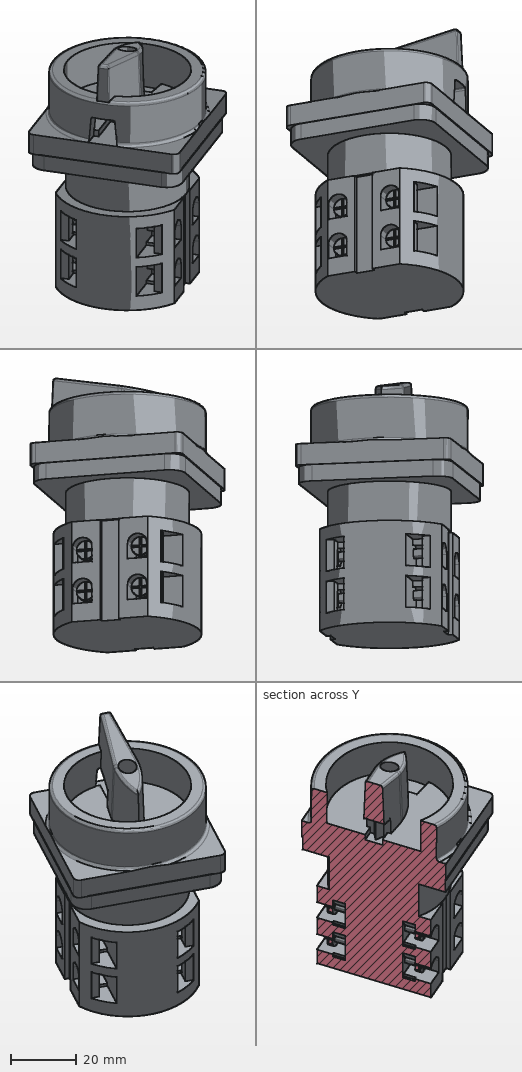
import cadquery as cq
import math

BODY_TOP = 31.6
NECK_TOP = 44.5
GASKET_TOP = 49.6
PLATE_TOP = 56.2
DIAL_FLOOR = 58.25
RING_TOP = 70.7
KNOB_TOP = 82.4

BODY_RADIUS = 22.65
BODY_WIDTH = 38.3
GROOVE_WIDTH = 5.85
GROOVE_DEPTH = 1.5
NECK_RADIUS = 18.95

LEVEL_PITCH = 12.9
LOWER_SCREW_Z = 10.5
SCREW_LEVELS = (LOWER_SCREW_Z, LOWER_SCREW_Z + LEVEL_PITCH)
WINDOW_DROP = 0.75
WINDOW_HEIGHT = 9.8
WINDOW_OUTER_X = 16.3
WINDOW_STEP_X = 13.75
WINDOW_INNER_X = 9.7
WINDOW_STEP_Y = 15.5
WINDOW_BACK_Y = 10.8
SCREW_Y = 8.7
POCKET_RADIUS = 3.05
POCKET_DROP = 4.7
HEAD_RADIUS = 2.9
HEAD_DEPTH = 3.55
SHANK_RADIUS = 1.5
DRIVE_WIDTH = 0.6
DRIVE_DEPTH = 0.4

PLATE_SIDE = 48.5
PLATE_CORNER = 2.0
GASKET_SIDE = 48.0
GASKET_CORNER = 5.1

RING_RADIUS = GASKET_SIDE / 2
RING_INNER_RADIUS = 19.45
RING_ROUND = 1.0

RECESS_INNER_Y = 12.1
RECESS_INNER_HALF = 3.7
RECESS_OUTER_HALF = 4.7

NOTCH_TOP = 64.6
NOTCH_BASE_HALF = 4.5
NOTCH_TOP_HALF = 3.8
NOTCH_ROUND = 0.75
CHANNEL_HALF = 2.9
CHANNEL_START_Y = -19.2
PASSAGE_END_Y = -7.8
RIDGE_HALF = 1.6
RIDGE_DEPTH = 2.5

KNOB_HALF = 4.7
KNOB_TIP_Y = 12.2
KNOB_ARC_END_Y = -0.75
KNOB_TAPER_START_Y = -2.0
KNOB_TAIL_Y = -24.1
KNOB_TAIL_HALF = 2.4
KNOB_DRAFT = 2.0
KNOB_SLOPE = 12.0
KNOB_ROUND = 1.0
KNOB_TAIL_ROUND = 0.3
KNOB_SEAT = 0.3
KNOB_PEAK_Y = -22.25
KNOB_HOLE_RADIUS = 2.8
KNOB_HOLE_FLOOR = 70.85

CLEARANCE = 4.1


def box(x0, x1, y0, y1, z0, z1):
    return cq.Workplane("XY").box(x1 - x0, y1 - y0, z1 - z0, centered=False).translate((x0, y0, z0))


def cylinder(radius, z0, z1):
    return cq.Workplane("XY").workplane(offset=z0).circle(radius).extrude(z1 - z0)


def square_plate(side, corner, z0, z1):
    plate = cq.Workplane("XY").workplane(offset=z0).rect(side, side).extrude(z1 - z0)
    return plate.edges("|Z").fillet(corner)


def all_quadrants(shape):
    """Repeat a shape mirrored in X and in Y."""
    pair = shape.union(shape.mirror("YZ"))
    return pair.union(pair.mirror("XZ"))


def terminal_cutter(screw_z):
    """Stepped wire window and round-topped screw pocket at -X, -Y."""
    z0 = screw_z - WINDOW_DROP - WINDOW_HEIGHT / 2
    z1 = z0 + WINDOW_HEIGHT
    outer_y = -BODY_RADIUS - CLEARANCE
    window = box(-WINDOW_OUTER_X, -WINDOW_INNER_X, outer_y, -WINDOW_STEP_Y, z0, z1)
    window = window.union(box(-WINDOW_STEP_X, -WINDOW_INNER_X, outer_y, -WINDOW_BACK_Y, z0, z1))
    pocket = (
        cq.Workplane("YZ", origin=(-WINDOW_INNER_X, -SCREW_Y, screw_z))
        .moveTo(-POCKET_RADIUS, -POCKET_DROP)
        .lineTo(POCKET_RADIUS, -POCKET_DROP)
        .lineTo(POCKET_RADIUS, 0)
        .threePointArc((0, POCKET_RADIUS), (-POCKET_RADIUS, 0))
        .close()
        .extrude(-BODY_WIDTH)
    )
    return window.union(pocket)


def terminal_screw(screw_z):
    """Cross-slotted screw standing on the pocket's back wall."""
    face_x = HEAD_DEPTH - BODY_WIDTH / 2
    axis = cq.Workplane("YZ", origin=(face_x, -SCREW_Y, screw_z))
    head = axis.circle(HEAD_RADIUS).extrude(-WINDOW_STEP_X - face_x)
    shank = axis.circle(SHANK_RADIUS).extrude(-WINDOW_INNER_X - face_x)
    cross = axis.rect(DRIVE_WIDTH, 2 * HEAD_RADIUS).extrude(DRIVE_DEPTH)
    cross = cross.union(axis.rect(2 * HEAD_RADIUS, DRIVE_WIDTH).extrude(DRIVE_DEPTH))
    return head.union(shank).cut(cross)


def contact_block():
    half = BODY_WIDTH / 2
    block = cylinder(BODY_RADIUS, 0, BODY_TOP)
    block = block.intersect(box(-half, half, -BODY_RADIUS, BODY_RADIUS, 0, BODY_TOP))
    groove = box(-half, GROOVE_DEPTH - half, -GROOVE_WIDTH / 2, GROOVE_WIDTH / 2, 0, BODY_TOP)
    block = block.cut(groove).cut(groove.mirror("YZ"))
    for screw_z in SCREW_LEVELS:
        block = block.cut(all_quadrants(terminal_cutter(screw_z)))
        block = block.union(all_quadrants(terminal_screw(screw_z)))
    return block


def guard_ring():
    """Ring with a rounded rim and a flared foot trimmed to the plate's sides."""
    diagonal = math.sqrt(0.5)
    r = RING_ROUND
    profile = (
        cq.Workplane("XZ")
        .moveTo(0, PLATE_TOP)
        .lineTo(RING_RADIUS + r, PLATE_TOP)
        .threePointArc(
            (RING_RADIUS + r * (1 - diagonal), PLATE_TOP + r * (1 - diagonal)),
            (RING_RADIUS, PLATE_TOP + r),
        )
        .lineTo(RING_RADIUS, RING_TOP - r)
        .threePointArc(
            (RING_RADIUS - r * (1 - diagonal), RING_TOP - r * (1 - diagonal)),
            (RING_RADIUS - r, RING_TOP),
        )
        .lineTo(0, RING_TOP)
        .close()
    )
    half = PLATE_SIDE / 2
    ring = profile.revolve(360, (0, 0, 0), (0, 1, 0))
    ring = ring.intersect(box(-half, half, -half, half, PLATE_TOP, RING_TOP))
    return ring.cut(cylinder(RING_INNER_RADIUS, DIAL_FLOOR, RING_TOP))


def marker_recess():
    outline = [
        (-RECESS_INNER_HALF, RECESS_INNER_Y),
        (RECESS_INNER_HALF, RECESS_INNER_Y),
        (RECESS_OUTER_HALF, RING_INNER_RADIUS),
        (-RECESS_OUTER_HALF, RING_INNER_RADIUS),
    ]
    wedge = cq.Workplane("XY").workplane(offset=PLATE_TOP).polyline(outline).close()
    wedge = wedge.extrude(DIAL_FLOOR - PLATE_TOP)
    return wedge.intersect(cylinder(RING_INNER_RADIUS, PLATE_TOP, DIAL_FLOOR))


def knob():
    """Drafted pointer with a sloping rounded top, its tail resting on the ring."""
    length = KNOB_TIP_Y - KNOB_ARC_END_Y
    arc_radius = (length**2 + KNOB_HALF**2) / (2 * KNOB_HALF)
    mid_angle = math.asin(length / arc_radius) / 2
    mid_x = KNOB_HALF - arc_radius * (1 - math.cos(mid_angle))
    mid_y = KNOB_ARC_END_Y + arc_radius * math.sin(mid_angle)
    body = (
        cq.Workplane("XY")
        .workplane(offset=DIAL_FLOOR)
        .moveTo(0, KNOB_TIP_Y)
        .threePointArc((mid_x, mid_y), (KNOB_HALF, KNOB_ARC_END_Y))
        .lineTo(KNOB_HALF, KNOB_TAPER_START_Y)
        .lineTo(KNOB_TAIL_HALF, KNOB_TAIL_Y)
        .lineTo(-KNOB_TAIL_HALF, KNOB_TAIL_Y)
        .lineTo(-KNOB_HALF, KNOB_TAPER_START_Y)
        .lineTo(-KNOB_HALF, KNOB_ARC_END_Y)
        .threePointArc((-mid_x, mid_y), (0, KNOB_TIP_Y))
        .close()
        .extrude(KNOB_TOP + CLEARANCE - DIAL_FLOOR, taper=KNOB_DRAFT)
    )
    body = body.faces("<Y").edges("<X or >X").fillet(KNOB_TAIL_ROUND)
    above = (
        cq.Workplane("XY")
        .box(PLATE_SIDE, 2 * PLATE_SIDE, PLATE_SIDE, centered=(True, True, False))
        .rotate((0, 0, 0), (1, 0, 0), -KNOB_SLOPE)
        .translate((0, KNOB_PEAK_Y, KNOB_TOP))
    )
    body = body.cut(above)
    body = body.faces(">Z").edges().fillet(KNOB_ROUND)
    hole = cylinder(KNOB_HOLE_RADIUS, KNOB_HOLE_FLOOR, KNOB_TOP)
    envelope = cylinder(RING_INNER_RADIUS, DIAL_FLOOR, RING_TOP)
    envelope = envelope.union(cylinder(PLATE_SIDE, RING_TOP - KNOB_SEAT, KNOB_TOP))
    return body.cut(hole).intersect(envelope)


def padlock_passage():
    """Round-cornered trapezoid through the ring wall, carried on under the knob."""
    outer_y = -PLATE_SIDE / 2 - CLEARANCE
    outline = [
        (-NOTCH_BASE_HALF, PLATE_TOP),
        (NOTCH_BASE_HALF, PLATE_TOP),
        (NOTCH_TOP_HALF, NOTCH_TOP),
        (-NOTCH_TOP_HALF, NOTCH_TOP),
    ]
    notch = cq.Workplane("XZ", origin=(0, outer_y, 0)).polyline(outline).close()
    notch = notch.extrude(outer_y - PASSAGE_END_Y)
    notch = notch.faces(">Z").edges("|Y").fillet(NOTCH_ROUND)
    for side in (-1, 1):
        x0, x1 = sorted((side * CHANNEL_HALF, side * (NOTCH_BASE_HALF + CLEARANCE)))
        notch = notch.cut(box(x0, x1, CHANNEL_START_Y, PASSAGE_END_Y, PLATE_TOP, DIAL_FLOOR))
    return notch


def passage_ridge():
    """Upright V-shaped ridge on the passage's end wall."""
    outline = [(-RIDGE_HALF, 0), (0, -RIDGE_DEPTH), (RIDGE_HALF, 0)]
    ridge = cq.Workplane("XY", origin=(0, PASSAGE_END_Y, PLATE_TOP)).polyline(outline).close()
    return ridge.extrude(NOTCH_TOP - PLATE_TOP)


result = contact_block()
result = result.union(cylinder(NECK_RADIUS, BODY_TOP, NECK_TOP))
result = result.union(square_plate(GASKET_SIDE, GASKET_CORNER, NECK_TOP, GASKET_TOP))
result = result.union(square_plate(PLATE_SIDE, PLATE_CORNER, GASKET_TOP, PLATE_TOP))
result = result.union(guard_ring().cut(marker_recess()))
result = result.union(knob())
result = result.cut(padlock_passage()).union(passage_ridge())